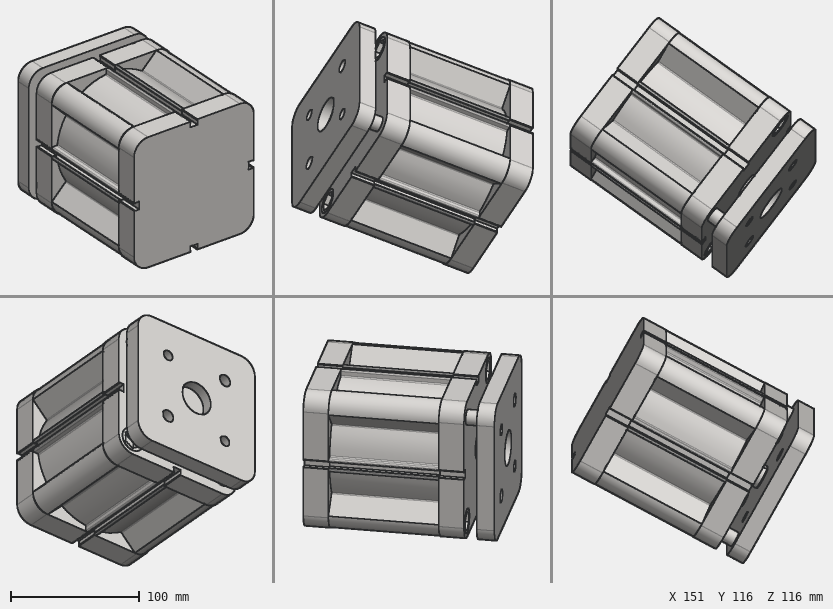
import cadquery as cq
import math

plate_thickness = 14.0
stroke_gap = 10.0
cap_length = 20.0
total_length = 151.0

width = 116.0
corner_offset = 44.4
half_width = width / 2
cap_corner_radius = half_width - corner_offset

recess_diameter = 28.1
recess_depth = 9.0
plate_hole_offset = 28.2
tapped_hole_diameter = 8.8
clearance_hole_diameter = 10.3

rod_diameter = 20.4
rod_across_flats = 17.4
rod_flat_length = 8.8
rod_chamfer = 0.8
guide_rod_diameter = 12.2

tube_radius = 53.0
barrel_corner_radius = 14.8
rail_half_width = 5.5
rail_rounding = 1.0
pocket_foot_radius = 0.9

cap_slot_width = 6.3
cap_lip = 0.9
cap_channel_width = 7.0
cap_slot_depth = 5.0
barrel_slot_width = 5.5
barrel_lip = 1.7
barrel_channel_width = 6.0
barrel_slot_depth = 5.7
barrel_slot_rounding = 0.6

screw_diameter = 20.1
screw_recess_depth = 0.2
socket_across_flats = 13.9
socket_depth = 7.7

front_cap_start = plate_thickness + stroke_gap
barrel_start = front_cap_start + cap_length
rear_cap_start = total_length - cap_length
barrel_length = rear_cap_start - barrel_start

guide_rod_points = [(corner_offset, corner_offset), (-corner_offset, -corner_offset)]
screw_points = [(-corner_offset, corner_offset), (corner_offset, -corner_offset)]


def section(x):
    """Workplane across the part at x, with local x along Y and local y along Z."""
    return cq.Workplane("YZ", origin=(x, 0, 0))


def rounded_square(x, length, corner_radius):
    return section(x).rect(width, width).extrude(length).edges("|X").fillet(corner_radius)


def make_plate():
    offset = plate_hole_offset
    tapped_points = [(offset, offset), (-offset, -offset)]
    clearance_points = [(-offset, offset), (offset, -offset)]
    plate = rounded_square(0, plate_thickness, cap_corner_radius)
    recess = section(0).circle(recess_diameter / 2).extrude(recess_depth)
    tapped = section(0).pushPoints(tapped_points).circle(tapped_hole_diameter / 2)
    clearance = section(0).pushPoints(clearance_points).circle(clearance_hole_diameter / 2)
    return (
        plate.cut(recess)
        .cut(tapped.extrude(plate_thickness))
        .cut(clearance.extrude(plate_thickness))
    )


def make_piston_rod():
    rod = section(plate_thickness).circle(rod_diameter / 2).extrude(stroke_gap)
    rod = rod.faces("<X").chamfer(rod_chamfer)
    flats = section(plate_thickness).rect(rod_across_flats, rod_diameter).extrude(rod_flat_length)
    round_end = section(plate_thickness + rod_flat_length).circle(rod_diameter / 2).extrude(stroke_gap)
    return rod.intersect(flats.union(round_end))


def make_guide_rod(point):
    return section(plate_thickness).center(*point).circle(guide_rod_diameter / 2).extrude(stroke_gap)


def tube_height(offset):
    """Height of the tube surface above the axis, at a sideways offset."""
    return math.sqrt(tube_radius**2 - offset**2)


def make_pocket():
    """Pocket on the top of the barrel, between the middle rail and one corner."""
    flank_top = half_width - barrel_corner_radius
    flank_foot = (math.sqrt(2 * tube_radius**2 - barrel_corner_radius**2) - barrel_corner_radius) / 2
    middle = (rail_half_width + flank_foot) / 2
    pocket = (
        section(barrel_start)
        .moveTo(rail_half_width - rail_rounding, half_width)
        .radiusArc((rail_half_width, half_width - rail_rounding), rail_rounding)
        .lineTo(rail_half_width, tube_height(rail_half_width))
        .threePointArc((middle, tube_height(middle)), (flank_foot, tube_height(flank_foot)))
        .lineTo(flank_top, half_width)
        .close()
        .extrude(barrel_length)
    )
    return pocket.faces("<Z").edges("|X").fillet(pocket_foot_radius)


def make_slot(x, length, slot_width, lip, channel_width, depth):
    """Slot in the top side: an opening as deep as the lip, above the wider channel."""
    channel_depth = depth - lip
    opening = section(x).center(0, half_width - lip / 2).rect(slot_width, lip).extrude(length)
    channel = (
        section(x)
        .center(0, half_width - lip - channel_depth / 2)
        .rect(channel_width, channel_depth)
        .extrude(length)
    )
    return opening.union(channel)


def make_rim_rounding(x, length, slot_width, radius):
    """Flared mouth that rounds both rims of a slot in the top side."""
    mouth_half = slot_width / 2 + radius
    rim_bottom = half_width - radius
    return (
        section(x)
        .moveTo(-mouth_half, half_width)
        .radiusArc((-slot_width / 2, rim_bottom), radius)
        .lineTo(slot_width / 2, rim_bottom)
        .radiusArc((mouth_half, half_width), radius)
        .close()
        .extrude(length)
    )


def cut_from_four_sides(body, cutter):
    for quarter in range(4):
        body = body.cut(cutter.rotate((0, 0, 0), (1, 0, 0), 90 * quarter))
    return body


def make_cap(x):
    cap = rounded_square(x, cap_length, cap_corner_radius)
    slot = make_slot(x, cap_length, cap_slot_width, cap_lip, cap_channel_width, cap_slot_depth)
    return cut_from_four_sides(cap, slot)


def make_barrel():
    barrel = rounded_square(barrel_start, barrel_length, barrel_corner_radius)
    pocket = make_pocket()
    slot = make_slot(
        barrel_start,
        barrel_length,
        barrel_slot_width,
        barrel_lip,
        barrel_channel_width,
        barrel_slot_depth,
    )
    rim = make_rim_rounding(barrel_start, barrel_length, barrel_slot_width, barrel_slot_rounding)
    for cutter in (pocket, pocket.mirror("XZ"), slot, rim):
        barrel = cut_from_four_sides(barrel, cutter)
    return barrel


def make_screw_recess(point):
    """Recess above a screw head, and its hexagon socket with two flats square to Y."""
    across_corners = socket_across_flats / math.cos(math.pi / 6)
    face = section(front_cap_start).center(*point)
    head = face.circle(screw_diameter / 2).extrude(screw_recess_depth)
    socket = face.transformed(rotate=(0, 0, 90)).polygon(6, across_corners).extrude(socket_depth)
    return head.union(socket)


def make_housing():
    housing = make_barrel().union(make_cap(front_cap_start)).union(make_cap(rear_cap_start))
    for point in screw_points:
        housing = housing.cut(make_screw_recess(point))
    return housing


plate = make_plate()
piston_rod = make_piston_rod()
guide_rods = [make_guide_rod(point) for point in guide_rod_points]
housing = make_housing()

result = cq.Compound.makeCompound(
    [plate.val(), piston_rod.val(), *[rod.val() for rod in guide_rods], housing.val()]
)